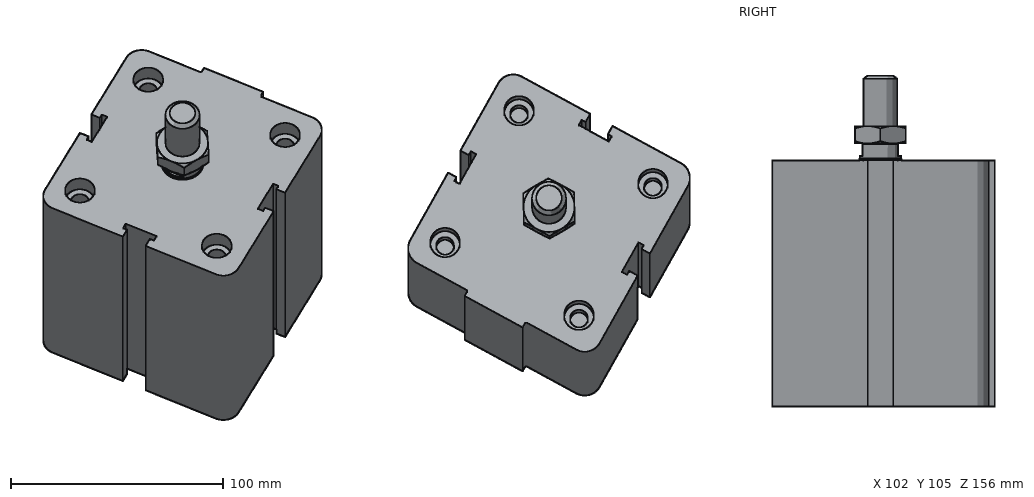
import cadquery as cq
import math

TOTAL_HEIGHT = 156.0
HOUSING_SIDE = 102.0
HOUSING_HEIGHT = 116.0
CORNER_RADIUS = 8.1

PAD_WIDTH = 31.2
PAD_HEIGHT = 3.0
PAD_ROOT_FILLET = 0.8

SLOT_MOUTH_WIDTH = 12.0
SLOT_LIP_DEPTH = 4.5
SLOT_INNER_WIDTH = 16.2
SLOT_DEPTH = 7.3
SLOT_ANGLES = (0, 180, 270)

HOLE_SPACING = 72.0
COUNTERBORE_DIAMETER = 14.0
COUNTERBORE_DEPTH = 8.7
HOLE_DIAMETER = 8.5
HOLE_DEPTH = 16.2

ROD_DIAMETER = 20.0
ROD_ENGAGEMENT = 16.2
ROD_EXPOSED_HEIGHT = 0.5
ROD_CHAMFER_HEIGHT = 0.5
SHANK_DIAMETER = 19.5
SHOULDER_HEIGHT = 8.0
SHOULDER_CHAMFER = 0.5
FLATS_DISTANCE = 16.8
FLATS_OFFSET = 2.0
THREAD_DIAMETER = 16.0
TIP_DIAMETER = 12.0
TIP_CHAMFER_HEIGHT = 1.5

NUT_SIDES = 6
NUT_ACROSS_FLATS = 24.0
NUT_HEIGHT = 8.1
NUT_CHAMFER_ANGLE = 30.0

BORE_BOTTOM = HOUSING_HEIGHT - ROD_ENGAGEMENT
SHOULDER_Z = HOUSING_HEIGHT + SHOULDER_HEIGHT
FLATS_Z = HOUSING_HEIGHT + FLATS_OFFSET


def make_pad():
    """Raised pad on the +Y side, with concave fillets where it meets the wall."""
    half_width = PAD_WIDTH / 2
    wall = HOUSING_SIDE / 2
    return (
        cq.Workplane("XY")
        .moveTo(-half_width - PAD_ROOT_FILLET, wall)
        .radiusArc((-half_width, wall + PAD_ROOT_FILLET), -PAD_ROOT_FILLET)
        .lineTo(-half_width, wall + PAD_HEIGHT)
        .lineTo(half_width, wall + PAD_HEIGHT)
        .lineTo(half_width, wall + PAD_ROOT_FILLET)
        .radiusArc((half_width + PAD_ROOT_FILLET, wall), -PAD_ROOT_FILLET)
        .lineTo(half_width, 0)
        .lineTo(-half_width, 0)
        .close()
        .extrude(HOUSING_HEIGHT)
    )


def make_slot(angle):
    """T-shaped cutter for the side whose outward direction is at `angle` from +X."""
    wall = HOUSING_SIDE / 2
    inner_depth = SLOT_DEPTH - SLOT_LIP_DEPTH
    mouth = (
        cq.Workplane("XY")
        .center(wall - SLOT_DEPTH / 2, 0)
        .rect(SLOT_DEPTH, SLOT_MOUTH_WIDTH)
        .extrude(HOUSING_HEIGHT)
    )
    inner = (
        cq.Workplane("XY")
        .center(wall - SLOT_LIP_DEPTH - inner_depth / 2, 0)
        .rect(inner_depth, SLOT_INNER_WIDTH)
        .extrude(HOUSING_HEIGHT)
    )
    return mouth.union(inner).rotate((0, 0, 0), (0, 0, 1), angle)


def make_housing():
    body = (
        cq.Workplane("XY")
        .rect(HOUSING_SIDE, HOUSING_SIDE)
        .extrude(HOUSING_HEIGHT)
        .edges("|Z")
        .fillet(CORNER_RADIUS)
        .union(make_pad())
    )
    for angle in SLOT_ANGLES:
        body = body.cut(make_slot(angle))
    body = (
        body.faces(">Z")
        .workplane(origin=(0, 0, HOUSING_HEIGHT))
        .rect(HOLE_SPACING, HOLE_SPACING, forConstruction=True)
        .vertices()
        .cboreHole(HOLE_DIAMETER, COUNTERBORE_DIAMETER, COUNTERBORE_DEPTH, HOLE_DEPTH)
    )
    rod_bore = (
        cq.Workplane("XY", origin=(0, 0, BORE_BOTTOM))
        .circle(ROD_DIAMETER / 2)
        .extrude(ROD_ENGAGEMENT)
    )
    return body.cut(rod_bore)


def make_rod():
    rod_radius = ROD_DIAMETER / 2
    rod_top = HOUSING_HEIGHT + ROD_EXPOSED_HEIGHT
    shank_radius = SHANK_DIAMETER / 2
    thread_radius = THREAD_DIAMETER / 2
    rod = (
        cq.Workplane("XZ")
        .moveTo(0, BORE_BOTTOM)
        .lineTo(rod_radius, BORE_BOTTOM)
        .lineTo(rod_radius, rod_top)
        .lineTo(shank_radius, rod_top + ROD_CHAMFER_HEIGHT)
        .lineTo(shank_radius, SHOULDER_Z - SHOULDER_CHAMFER)
        .lineTo(shank_radius - SHOULDER_CHAMFER, SHOULDER_Z)
        .lineTo(thread_radius, SHOULDER_Z)
        .lineTo(thread_radius, TOTAL_HEIGHT - TIP_CHAMFER_HEIGHT)
        .lineTo(TIP_DIAMETER / 2, TOTAL_HEIGHT)
        .lineTo(0, TOTAL_HEIGHT)
        .close()
        .revolve(360, (0, 0), (0, 1))
    )
    flats_height = SHOULDER_Z - FLATS_Z
    flats = (
        cq.Workplane("XY", origin=(0, 0, FLATS_Z))
        .rect(SHANK_DIAMETER, SHANK_DIAMETER)
        .rect(SHANK_DIAMETER, FLATS_DISTANCE)
        .extrude(flats_height)
    )
    return rod.cut(flats)


def make_nut():
    flat_radius = NUT_ACROSS_FLATS / 2
    corner_radius = flat_radius / math.cos(math.pi / NUT_SIDES)
    chamfer_height = (corner_radius - flat_radius) * math.tan(math.radians(NUT_CHAMFER_ANGLE))
    hexagon = (
        cq.Workplane("XY", origin=(0, 0, SHOULDER_Z))
        .polygon(NUT_SIDES, 2 * corner_radius)
        .circle(THREAD_DIAMETER / 2)
        .extrude(NUT_HEIGHT)
    )
    envelope = (
        cq.Workplane("XZ")
        .moveTo(0, SHOULDER_Z)
        .lineTo(flat_radius, SHOULDER_Z)
        .lineTo(corner_radius, SHOULDER_Z + chamfer_height)
        .lineTo(corner_radius, SHOULDER_Z + NUT_HEIGHT - chamfer_height)
        .lineTo(flat_radius, SHOULDER_Z + NUT_HEIGHT)
        .lineTo(0, SHOULDER_Z + NUT_HEIGHT)
        .close()
        .revolve(360, (0, 0), (0, 1))
    )
    return hexagon.intersect(envelope)


housing = make_housing()
rod = make_rod()
nut = make_nut()

result = cq.Compound.makeCompound([housing.val(), rod.val(), nut.val()])